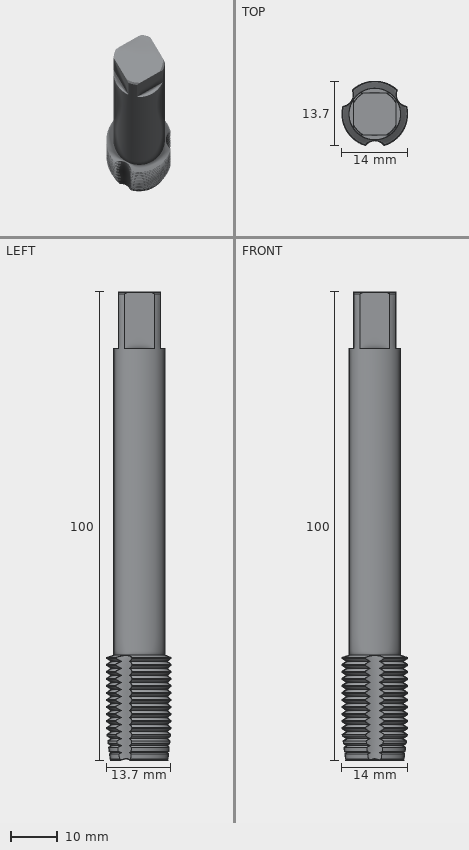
import cadquery as cq
import math

total_length = 100.0
shank_diameter = 11.0
shank_radius = shank_diameter / 2

square_size = 9.0
square_length = 12.0
square_top_chamfer = 0.4

head_height = 22.5
thread_diameter = 14.0
thread_pitch = 1.5
thread_depth = 1.0
crest_width = thread_pitch / 8
first_crest_drop = 0.55
crest_radius = thread_diameter / 2
root_radius = crest_radius - thread_depth
tip_radius = 6.2
lead_length = 4 * thread_pitch
shoulder_cone_height = 0.5
tip_recess_depth = 0.5
tip_recess_radius = shank_radius

flute_count = 3
first_flute_angle = -90.0
flute_radius = 2.5
flute_floor_radius = 5.7


def make_shank():
    """Plain round shank with a four-sided driving square at its top."""
    shank = (
        cq.Workplane("XY")
        .workplane(offset=head_height)
        .circle(shank_radius)
        .extrude(total_length - head_height)
        .faces(">Z")
        .chamfer(square_top_chamfer)
    )
    square_start = total_length - square_length
    flats = (
        cq.Workplane("XY")
        .workplane(offset=square_start)
        .circle(shank_diameter)
        .rect(square_size, square_size)
        .extrude(square_length)
    )
    return shank.cut(flats)


def thread_groove(crest_z):
    """Sharp V groove directly below the crest centred at crest_z."""
    groove_z = crest_z - thread_pitch / 2
    mouth_half = (thread_pitch - crest_width) / 2
    return (
        cq.Workplane("XZ")
        .moveTo(root_radius, groove_z)
        .lineTo(crest_radius, groove_z - mouth_half)
        .lineTo(crest_radius, groove_z + mouth_half)
        .close()
        .revolve(360, (0, 0, 0), (0, 1, 0))
    )


def flute(angle):
    """Round-bottomed cutter running along the head at the given angle."""
    centre_distance = flute_floor_radius + flute_radius
    return (
        cq.Workplane("XY")
        .center(
            centre_distance * math.cos(math.radians(angle)),
            centre_distance * math.sin(math.radians(angle)),
        )
        .circle(flute_radius)
        .extrude(head_height)
    )


def make_head():
    """Threaded head with a tapered lead, ring grooves and three flutes."""
    head = (
        cq.Workplane("XZ")
        .moveTo(0, tip_recess_depth)
        .lineTo(tip_recess_radius, tip_recess_depth)
        .lineTo(tip_radius, 0)
        .lineTo(crest_radius, lead_length)
        .lineTo(crest_radius, head_height - shoulder_cone_height)
        .lineTo(shank_radius, head_height)
        .lineTo(0, head_height)
        .close()
        .revolve(360, (0, 0, 0), (0, 1, 0))
    )
    first_crest_z = head_height - first_crest_drop
    groove_count = math.ceil(first_crest_z / thread_pitch)
    for index in range(groove_count):
        head = head.cut(thread_groove(first_crest_z - index * thread_pitch))
    flute_step = 360 / flute_count
    for index in range(flute_count):
        head = head.cut(flute(first_flute_angle + index * flute_step))
    return head


shank = make_shank()
head = make_head()

result = cq.Compound.makeCompound([shank.val(), head.val()])